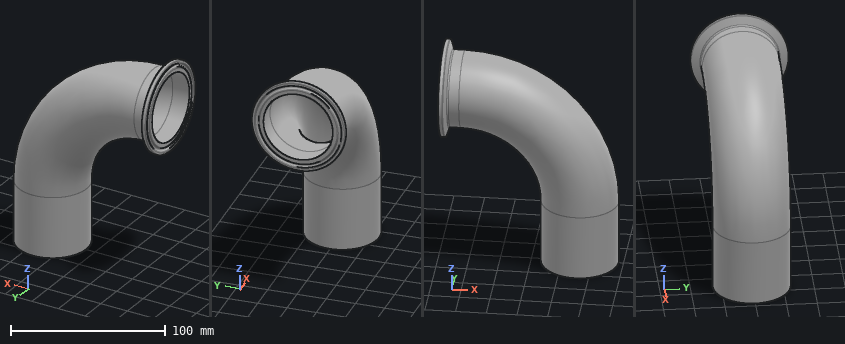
import cadquery as cq

overall_x = 114.3
overall_z = 152.6

tube_diameter = 50.8
bore_diameter = 47.5
bend_radius = 76.1

flange_diameter = 64.0
flange_thickness = 2.9
cone_length = 2.3
neck_fillet = 1.0
rim_fillet = 0.5

groove_diameter = 56.6
groove_width = 2.5
groove_depth = 1.2
groove_lip_fillet = 0.6

selection_margin = 0.2

tube_radius = tube_diameter / 2
bore_radius = bore_diameter / 2
flange_radius = flange_diameter / 2
ferrule_length = overall_x - bend_radius - tube_radius
leg_length = overall_z - bend_radius - flange_radius

bend_end_x = ferrule_length + bend_radius
bend_end_z = -bend_radius


def elbow(radius):
    """Solid rod of the given radius along the bend and the vertical leg."""
    bend = (
        cq.Workplane("YZ", origin=(ferrule_length, 0, 0))
        .circle(radius)
        .revolve(90, (-1.5, -bend_radius, 0), (1.5, -bend_radius, 0))
    )
    leg = (
        cq.Workplane("XY", origin=(bend_end_x, 0, bend_end_z))
        .circle(radius)
        .extrude(-leg_length)
    )
    return bend.union(leg)


def rings_at(x, largest_radius):
    """Selector for the circular edges at one X, up to the given radius."""
    reach = largest_radius + selection_margin
    return cq.selectors.BoxSelector(
        (x - selection_margin, -reach, -reach),
        (x + selection_margin, reach, reach),
        boundingbox=True,
    )


def ferrule_blank():
    """Flanged end turned about the X axis, with its rim and neck rounded."""
    cone_end = flange_thickness + cone_length
    blank = (
        cq.Workplane("XY")
        .moveTo(0, 0)
        .lineTo(0, flange_radius)
        .lineTo(flange_thickness, flange_radius)
        .lineTo(cone_end, tube_radius)
        .lineTo(ferrule_length, tube_radius)
        .lineTo(ferrule_length, 0)
        .close()
        .revolve(360, (0, 0, 0), (1, 0, 0))
    )
    blank = blank.edges(rings_at(cone_end, flange_radius)).fillet(neck_fillet)
    blank = blank.edges(rings_at(flange_thickness, flange_radius)).fillet(rim_fillet)
    return blank.edges(rings_at(0, flange_radius)).fillet(rim_fillet)


def gasket_groove():
    """Ring of circular-arc section that cuts the sealing face."""
    middle = groove_diameter / 2
    return (
        cq.Workplane("XY")
        .moveTo(0, middle - groove_width / 2)
        .threePointArc((groove_depth, middle), (0, middle + groove_width / 2))
        .close()
        .revolve(360, (0, 0, 0), (1, 0, 0))
    )


groove_outer_radius = (groove_diameter + groove_width) / 2
ferrule = (
    ferrule_blank()
    .cut(gasket_groove())
    .edges(rings_at(0, groove_outer_radius))
    .fillet(groove_lip_fillet)
)
ferrule_bore = cq.Workplane("YZ").circle(bore_radius).extrude(ferrule_length)
bent_tube = elbow(tube_radius).cut(elbow(bore_radius))
result = ferrule.cut(ferrule_bore).union(bent_tube)